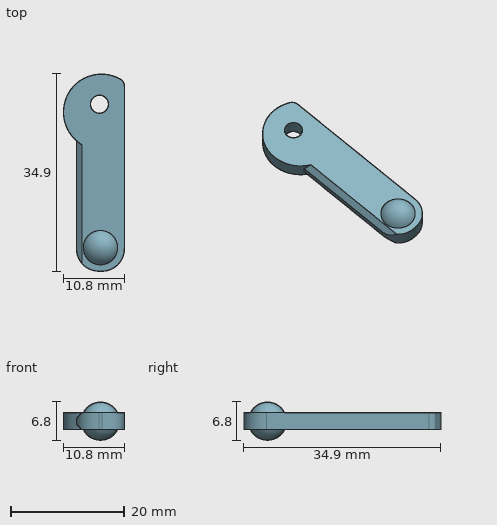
import cadquery as cq

thickness = 3.0
arm_right = 4.25
arm_width = 8.5
arm_left = arm_right - arm_width
end_y = -4.2
end_radius = 4.0

head_radius = 6.73
head_x = 0.17
head_y = 30.7 - head_radius
corner_radius = 1.4

hole_radius = 1.57
hole_x = -0.17
hole_y = 25.35
ball_radius = 3.4
chamfer = 0.98


def plate():
    """Arm with a rounded end, joined to the head and trimmed along its right side."""
    arm_length = head_y - end_y
    arm = (
        cq.Workplane("XY")
        .box(arm_width, arm_length, thickness, centered=(False, False, True))
        .translate((arm_left, end_y, 0))
        .edges("|Z and <Y")
        .fillet(end_radius)
    )
    half = thickness / 2
    for side in (1, -1):
        bevel = (
            cq.Workplane("XZ", origin=(0, end_y, 0))
            .moveTo(arm_left, side * half)
            .lineTo(arm_left + chamfer, side * half)
            .lineTo(arm_left, side * (half - chamfer))
            .close()
            .extrude(-arm_length)
        )
        arm = arm.cut(bevel)

    head_left = head_x - head_radius
    right_trim = (
        cq.Workplane("XY")
        .box(arm_right - head_left, 2 * head_radius, thickness, centered=(False, True, True))
        .translate((head_left, head_y, 0))
    )
    head = (
        cq.Workplane("XY", origin=(head_x, head_y, -half))
        .circle(head_radius)
        .extrude(thickness)
        .intersect(right_trim)
        .edges("|Z and >X and >Y")
        .fillet(corner_radius)
    )
    return arm.union(head)


def pivot_hole():
    return (
        cq.Workplane("XY", origin=(hole_x, hole_y, -thickness / 2))
        .circle(hole_radius)
        .extrude(thickness)
    )


ball = cq.Workplane("XY").sphere(ball_radius)
result = plate().cut(pivot_hole()).union(ball)